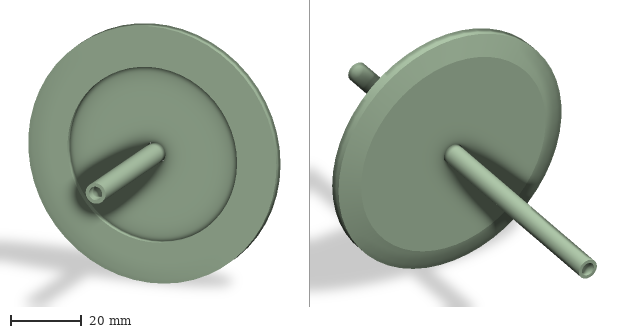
import cadquery as cq
import math

tube_length = 120.0
tube_diameter = 6.0
bore_diameter = 4.0
front_length = 45.0

flange_diameter = 75.0
flange_thickness = 5.0
taper_width = 6.5
taper_angle = 15.0
recess_diameter = 51.2
recess_depth = 2.0
tube_hole_diameter = 6.4

flange_radius = flange_diameter / 2
taper_height = taper_width * math.tan(math.radians(taper_angle))
rim_thickness = flange_thickness - taper_height


def cylinder_along_y(diameter, length, start_y):
    return cq.Workplane("XZ", origin=(0, start_y, 0)).circle(diameter / 2).extrude(-length)


def make_flange():
    """Disc with its front face at Y = 0 and its tapered edge toward +Y."""
    disc = (
        cq.Workplane("XY")
        .lineTo(flange_radius, 0)
        .lineTo(flange_radius, rim_thickness)
        .lineTo(flange_radius - taper_width, flange_thickness)
        .lineTo(0, flange_thickness)
        .close()
        .revolve(360, (0, 0, 0), (0, 1, 0))
    )
    recess = cylinder_along_y(recess_diameter, recess_depth, 0)
    tube_hole = cylinder_along_y(tube_hole_diameter, flange_thickness, 0)
    return disc.cut(recess).cut(tube_hole)


def make_tube():
    """Open tube that passes through the flange."""
    outside = cylinder_along_y(tube_diameter, tube_length, -front_length)
    bore = cylinder_along_y(bore_diameter, tube_length, -front_length)
    return outside.cut(bore)


flange = make_flange()
tube = make_tube()
result = cq.Compound.makeCompound([flange.val(), tube.val()])